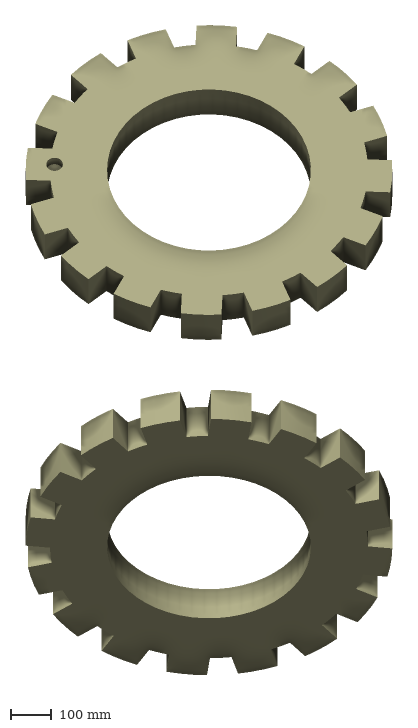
import cadquery as cq

outer_diameter = 899.0
root_diameter = 780.0
bore_diameter = 500.0
thickness = 100.0
tooth_count = 16
tooth_width = 100.0

hole_diameter = 40.5
hole_depth = 25.0
hole_x = -351.0
hole_y = -144.0

tooth_pitch = 360.0 / tooth_count


def make_teeth():
    """Parallel-sided radial bars, trimmed to the outer cylinder."""
    blank = cq.Workplane("XY").circle(outer_diameter / 2).extrude(thickness)
    bar = cq.Workplane("XY").rect(outer_diameter, tooth_width).extrude(thickness)
    bars = bar
    for index in range(1, tooth_count // 2):
        bars = bars.union(bar.rotate((0, 0, 0), (0, 0, 1), index * tooth_pitch))
    return bars.intersect(blank)


def make_marker_hole():
    return (
        cq.Workplane("XY", origin=(0, 0, thickness - hole_depth))
        .center(hole_x, hole_y)
        .circle(hole_diameter / 2)
        .extrude(hole_depth)
    )


body = cq.Workplane("XY").circle(root_diameter / 2).extrude(thickness)
bore = cq.Workplane("XY").circle(bore_diameter / 2).extrude(thickness)
result = body.union(make_teeth()).cut(bore).cut(make_marker_hole())